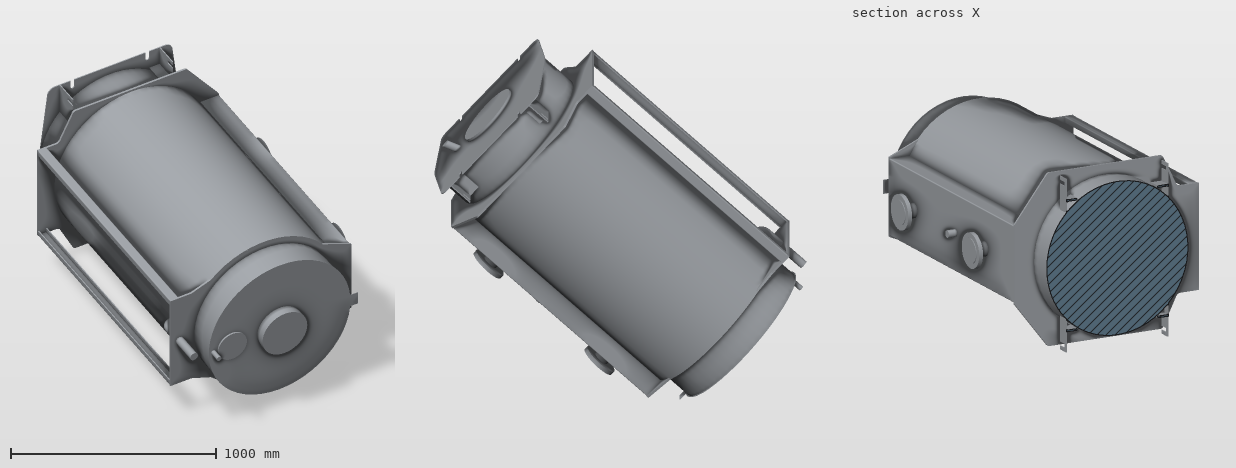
import cadquery as cq
import math

SHEET = 5.0
DOOR_X = 64.0
DOOR_BACK_X = DOOR_X + SHEET
FRAME_THICKNESS = 10.0
FRONT_FRAME_X = 263.0
SHELL_START_X = FRONT_FRAME_X + FRAME_THICKNESS
REAR_FRAME_X = 1550.0
SHELL_END_X = REAR_FRAME_X + FRAME_THICKNESS
END_PLATE_X = 1717.0
END_PLATE_THICKNESS = 2.0
END_PLATE_BACK_X = END_PLATE_X + END_PLATE_THICKNESS
TIP_X = 1776.0

SHELL_DIAMETER = 858.0
BARREL_DIAMETER = 780.0
NECK_DIAMETER = 775.0
NECK_GAP = 5.0
RIM_WALL = 5.0

HEIGHT = 880.0
HALF_HEIGHT = HEIGHT / 2
DOOR_HALF_WIDTH = 396.0
DOOR_SIDE_ANGLE = 7.0
DOOR_CORNER_RADIUS = 43.0
DOOR_SLOT_WIDTH = 21.0
DOOR_SLOT_DEPTH = 52.0
DOOR_SLOT_Y = 210.0
BURNER_DIAMETER = 320.0
BURNER_HEIGHT = 16.0
SIGHT_TUBE_DIAMETER = 37.0
SIGHT_TUBE_TIP_Y = 249.0
SIGHT_TUBE_ANGLE = 20.0

BRACKET_LENGTH = 125.0
BRACKET_OUTER_Y = 282.0
BRACKET_ROOT_Z = 274.0
LEDGE_Z = 325.0
LEDGE_THICKNESS = 10.0
LEDGE_WIDTH = 62.0
NOTCH_DEPTH = 48.0
NOTCH_HEIGHT = 21.0
NOTCH_Z = 400.0

END_PLATE_DIAMETER = 794.0
END_TAB_Y = 439.0
END_TAB_WIDTH = 71.0
FLUE_DIAMETER = 250.0
FLUE_END_X = 1770.0
HATCH_DIAMETER = 160.0
HATCH_HEIGHT = 9.0
HATCH_Y = -268.0
DRAIN_DIAMETER = 25.0
DRAIN_Y = -371.0

NOZZLE_XS = (572.0, 1302.0)
NOZZLE_DIAMETER = 76.0
FLANGE_DIAMETER = 180.0
FLANGE_Y = 550.0
FLANGE_THICKNESS = 21.0
FLANGE_FACE_DIAMETER = 128.0
NOZZLE_END_Y = 575.0
VENT_X = 872.0
VENT_DIAMETER = 37.0
VENT_END_Y = 540.0

PIPE_DIAMETER = 43.0
PIPE_Y = -469.0
PIPE_BEND_X = 1460.0
PIPE_BEND_RADIUS = 37.0
PIPE_BEND_ANGLE = 90
PIPE_END_X = 1701.0

COVER_Y = 494.0
COVER_HALF_HEIGHT = 195.0
COVER_LIP_Y = 389.0
FRAME_COVER_HALF = 202.0
FRAME_TOP_Y = (310.0, -320.0)
FRAME_CORNER_RADIUS = 18.0
SHOULDER_Y = -403.0
SHOULDER_RADIUS = 27.0
REAR_COVER_WING = (330.0, 272.0)
REAR_RAIL_WING = (-297.0, 310.0)
RAIL_FACE_Y = -520.0
RAIL_WIDTH = 50.0
RAIL_LEG = 30.0
RAIL_HALF_HEIGHT = 272.0


def disc(x_start, x_end, diameter, y=0.0):
    """Round bar along X."""
    return cq.Workplane("YZ", origin=(x_start, y, 0)).circle(diameter / 2).extrude(x_end - x_start)


def side_disc(x, y_start, y_end, diameter):
    """Round bar along +Y, centred on Z = 0."""
    plane = cq.Plane(origin=(x, y_start, 0), xDir=(1, 0, 0), normal=(0, 1, 0))
    return cq.Workplane(plane).circle(diameter / 2).extrude(y_end - y_start)


def block(x, y, z):
    """Box given by its (low, high) limits on each axis."""
    lows, highs = zip(x, y, z)
    size = [high - low for low, high in zip(lows, highs)]
    return cq.Workplane("XY").box(*size, centered=False).translate(lows)


def mirrored_outline(upper_points):
    """Closed (Y, Z) outline from its upper half, listed from +Y to -Y."""
    return upper_points + [(y, -z) for y, z in reversed(upper_points)]


def drum():
    shell = disc(SHELL_START_X, SHELL_END_X, SHELL_DIAMETER)
    neck = disc(FRONT_FRAME_X - NECK_GAP, SHELL_END_X + NECK_GAP, NECK_DIAMETER)
    front_barrel = disc(DOOR_BACK_X, FRONT_FRAME_X - NECK_GAP, BARREL_DIAMETER)
    rear_barrel = disc(SHELL_END_X + NECK_GAP, END_PLATE_X, BARREL_DIAMETER)
    return shell.union(neck).union(front_barrel).union(rear_barrel)


def door():
    lean = math.radians(DOOR_SIDE_ANGLE)
    tangent_y = DOOR_HALF_WIDTH * math.cos(lean)
    tangent_z = DOOR_HALF_WIDTH * math.sin(lean)
    corner_y = (DOOR_HALF_WIDTH - HALF_HEIGHT * math.sin(lean)) / math.cos(lean)
    plate = (
        cq.Workplane("YZ", origin=(DOOR_X, 0, 0))
        .moveTo(tangent_y, -tangent_z)
        .threePointArc((DOOR_HALF_WIDTH, 0), (tangent_y, tangent_z))
        .lineTo(corner_y, HALF_HEIGHT)
        .lineTo(-corner_y, HALF_HEIGHT)
        .lineTo(-tangent_y, tangent_z)
        .threePointArc((-DOOR_HALF_WIDTH, 0), (-tangent_y, -tangent_z))
        .lineTo(-corner_y, -HALF_HEIGHT)
        .lineTo(corner_y, -HALF_HEIGHT)
        .close()
        .extrude(SHEET)
    )
    for end in (">Z", "<Z"):
        plate = plate.edges("|X").edges(end).fillet(DOOR_CORNER_RADIUS)
    slot_length = 2 * DOOR_SLOT_DEPTH
    slot_direction = 90
    slots = (
        cq.Workplane("YZ", origin=(DOOR_X, 0, 0))
        .rect(2 * DOOR_SLOT_Y, 2 * HALF_HEIGHT, forConstruction=True)
        .vertices()
        .slot2D(slot_length, DOOR_SLOT_WIDTH, slot_direction)
        .extrude(SHEET)
    )
    return plate.cut(slots)


def bracket():
    """Upper +Y bracket behind the door: a notched upright with a ledge on its inner side."""
    end_x = DOOR_BACK_X + BRACKET_LENGTH
    inner_y = BRACKET_OUTER_Y - SHEET
    span = (DOOR_BACK_X, end_x)
    upright = block(span, (inner_y, BRACKET_OUTER_Y), (BRACKET_ROOT_Z - SHEET, HALF_HEIGHT))
    notch = block((end_x - NOTCH_DEPTH, end_x), (inner_y, BRACKET_OUTER_Y), (NOTCH_Z, NOTCH_Z + NOTCH_HEIGHT))
    ledge = block(
        span, (BRACKET_OUTER_Y - LEDGE_WIDTH, BRACKET_OUTER_Y), (LEDGE_Z, LEDGE_Z + LEDGE_THICKNESS)
    )
    return upright.cut(notch).union(ledge)


def sight_tube():
    """Slanted tube on the door, its tip cut square to the boiler axis."""
    angle = math.radians(SIGHT_TUBE_ANGLE)
    direction = cq.Vector(math.cos(angle), -math.sin(angle), 0)
    overshoot = SIGHT_TUBE_DIAMETER
    start = cq.Vector(0, SIGHT_TUBE_TIP_Y, 0) - direction * overshoot
    length = overshoot + DOOR_BACK_X / math.cos(angle) + overshoot
    tube = cq.Workplane(obj=cq.Solid.makeCylinder(SIGHT_TUBE_DIAMETER / 2, length, start, direction))
    reach = (SIGHT_TUBE_TIP_Y - length, SIGHT_TUBE_TIP_Y + length)
    return tube.intersect(block((0, DOOR_BACK_X), reach, (-overshoot, overshoot)))


def rear_end():
    plate = disc(END_PLATE_X, END_PLATE_BACK_X, END_PLATE_DIAMETER)
    tab = block(
        (END_PLATE_X, END_PLATE_BACK_X), (0, END_TAB_Y), (-END_TAB_WIDTH / 2, END_TAB_WIDTH / 2)
    )
    flue = disc(END_PLATE_X, FLUE_END_X, FLUE_DIAMETER)
    hatch = disc(END_PLATE_X, END_PLATE_BACK_X + HATCH_HEIGHT, HATCH_DIAMETER, HATCH_Y)
    drain = disc(END_PLATE_X, TIP_X, DRAIN_DIAMETER, DRAIN_Y)
    return plate.union(tab).union(flue).union(hatch).union(drain)


def nozzle(x):
    pipe = side_disc(x, 0, FLANGE_Y, NOZZLE_DIAMETER)
    flange = side_disc(x, FLANGE_Y, FLANGE_Y + FLANGE_THICKNESS, FLANGE_DIAMETER)
    face = side_disc(x, FLANGE_Y, NOZZLE_END_Y, FLANGE_FACE_DIAMETER)
    return pipe.union(flange).union(face)


def bent_pipe():
    """Pipe that leaves the drum on -Y and turns through a right angle to run along +X."""
    straight = disc(PIPE_BEND_X, PIPE_END_X, PIPE_DIAMETER, PIPE_Y)
    bend = (
        cq.Workplane("YZ", origin=(PIPE_BEND_X, PIPE_Y, 0))
        .circle(PIPE_DIAMETER / 2)
        .revolve(PIPE_BEND_ANGLE, (PIPE_BEND_RADIUS, 18, 0), (PIPE_BEND_RADIUS, 0, 0))
    )
    inlet_y = PIPE_Y + PIPE_BEND_RADIUS
    inlet = side_disc(PIPE_BEND_X - PIPE_BEND_RADIUS, inlet_y, inlet_y + PIPE_DIAMETER, PIPE_DIAMETER)
    return straight.union(bend).union(inlet)


def build_vessel(rear_blank):
    vessel = drum().cut(rear_blank)
    vessel = vessel.union(door()).union(disc(DOOR_X - BURNER_HEIGHT, DOOR_X, BURNER_DIAMETER))
    vessel = vessel.union(sight_tube()).union(rear_end())
    upper = bracket()
    for copy in (upper, upper.mirror("XZ")):
        vessel = vessel.union(copy).union(copy.mirror("XY"))
    for x in NOZZLE_XS:
        vessel = vessel.union(nozzle(x))
    return vessel.union(side_disc(VENT_X, 0, VENT_END_Y, VENT_DIAMETER)).union(bent_pipe())



def build_front_frame():
    upper = [
        (COVER_Y, FRAME_COVER_HALF),
        (FRAME_TOP_Y[0], HALF_HEIGHT),
        (FRAME_TOP_Y[1], HALF_HEIGHT),
        (SHOULDER_Y, RAIL_HALF_HEIGHT),
        (RAIL_FACE_Y, RAIL_HALF_HEIGHT),
    ]
    plate = (
        cq.Workplane("YZ", origin=(FRONT_FRAME_X, 0, 0))
        .polyline(mirrored_outline(upper))
        .close()
        .extrude(FRAME_THICKNESS)
    )
    for end in (">Z", "<Z"):
        plate = plate.edges("|X").edges(end).fillet(FRAME_CORNER_RADIUS)
    for side in (1, -1):
        shoulder = cq.selectors.NearestToPointSelector((FRONT_FRAME_X, SHOULDER_Y, side * RAIL_HALF_HEIGHT))
        plate = plate.edges("|X").edges(shoulder).fillet(SHOULDER_RADIUS)
    return plate.cut(disc(FRONT_FRAME_X, SHELL_START_X, NECK_DIAMETER))


def build_rear_frame_blank():
    """Rear plate without its pipe hole: a disc inside the shell's rim, with two wings through the rim."""
    upper = [
        (COVER_Y, FRAME_COVER_HALF),
        REAR_COVER_WING,
        REAR_RAIL_WING,
        (SHOULDER_Y, RAIL_HALF_HEIGHT),
        (RAIL_FACE_Y, RAIL_HALF_HEIGHT),
    ]
    wings = (
        cq.Workplane("YZ", origin=(REAR_FRAME_X, 0, 0))
        .polyline(mirrored_outline(upper))
        .close()
        .extrude(FRAME_THICKNESS)
    )
    plate = wings.union(disc(REAR_FRAME_X, SHELL_END_X, SHELL_DIAMETER - 2 * RIM_WALL))
    return plate.cut(disc(REAR_FRAME_X, SHELL_END_X, NECK_DIAMETER))


def build_rail():
    """Upper rail: a channel open downwards."""
    span = (SHELL_START_X, REAR_FRAME_X)
    back_y = RAIL_FACE_Y + RAIL_WIDTH
    bottom_z = RAIL_HALF_HEIGHT - RAIL_LEG
    outside = block(span, (RAIL_FACE_Y, back_y), (bottom_z, RAIL_HALF_HEIGHT))
    outside = outside.edges("|X").edges(">Z").fillet(SHEET)
    inside = block(span, (RAIL_FACE_Y + SHEET, back_y - SHEET), (bottom_z, RAIL_HALF_HEIGHT - SHEET))
    return outside.cut(inside)


def build_cover():
    """Side cover: a wide channel whose lips end just clear of the drum, with holes for the connections."""
    span = (SHELL_START_X, REAR_FRAME_X)
    inner_half = COVER_HALF_HEIGHT - SHEET
    outside = block(span, (COVER_LIP_Y, COVER_Y), (-COVER_HALF_HEIGHT, COVER_HALF_HEIGHT))
    outside = outside.edges("|X").edges(">Y").fillet(SHEET)
    inside = block(span, (COVER_LIP_Y, COVER_Y - SHEET), (-inner_half, inner_half))
    cover = outside.cut(inside)
    for x in NOZZLE_XS:
        cover = cover.cut(side_disc(x, 0, FLANGE_Y, NOZZLE_DIAMETER))
    return cover.cut(side_disc(VENT_X, 0, VENT_END_Y, VENT_DIAMETER))


rear_blank = build_rear_frame_blank()
vessel = build_vessel(rear_blank)
front_frame = build_front_frame()
rear_frame = rear_blank.cut(disc(REAR_FRAME_X, SHELL_END_X, PIPE_DIAMETER, PIPE_Y))
cover = build_cover()
upper_rail = build_rail()
rails = [upper_rail, upper_rail.mirror("XY")]

result = cq.Compound.makeCompound(
    [vessel.val(), front_frame.val(), rear_frame.val(), cover.val()] + [rail.val() for rail in rails]
)